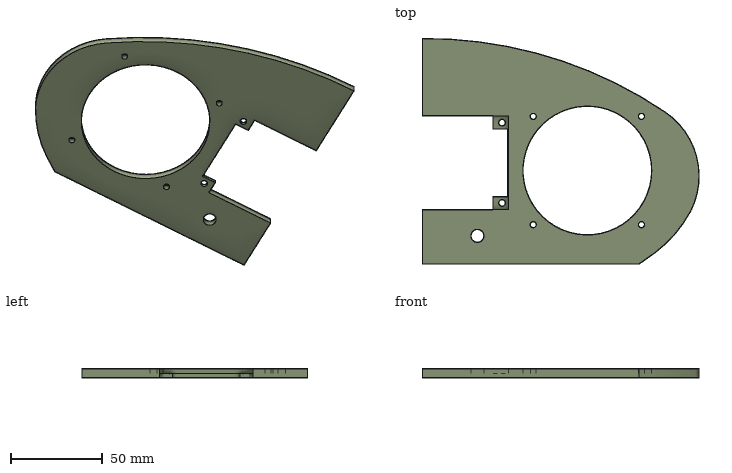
import cadquery as cq

length = 151.0
width = 123.0
thickness = 5.0
nose_y = 47.5
upper_arc_middle = (75.4, 111.1)
shoulder = (132.3, 83.0)
nose_end = (146.5, 29.0)
lower_arc_middle = (138.0, 16.6)
lower_arc_end = (127.2, 6.3)
bottom_edge_end = 118.2

notch_depth = 47.0
notch_bottom = 29.7
notch_top = 80.8
ledge_width = 0.6
tab_length = 8.5
tab_width = 7.1
tab_thickness = 2.3
tab_hole_diameter = 3.5
tab_hole_inset_x = 3.5
tab_hole_inset_y = 3.6

opening_center = (90.0, 51.0)
opening_diameter = 70.0
mount_spacing = 59.0
mount_diameter = 3.2

arm_hole_center = (30.0, 15.4)
arm_hole_diameter = 7.0


def make_plate():
    """Flat plate with a curved upper side and a rounded nose."""
    return (
        cq.Workplane("XY")
        .lineTo(bottom_edge_end, 0)
        .lineTo(*lower_arc_end)
        .threePointArc(lower_arc_middle, nose_end)
        .threePointArc((length, nose_y), shoulder)
        .threePointArc(upper_arc_middle, (0, width))
        .close()
        .extrude(thickness)
    )


def block(x_min, x_max, y_min, y_max, height):
    """Rectangular block standing on the bottom plane."""
    return (
        cq.Workplane("XY")
        .moveTo(x_min, y_min)
        .lineTo(x_max, y_min)
        .lineTo(x_max, y_max)
        .lineTo(x_min, y_max)
        .close()
        .extrude(height)
    )


def drill(body, centers, diameter):
    """Cut round holes through the full plate thickness."""
    pins = cq.Workplane("XY").pushPoints(centers).circle(diameter / 2).extrude(thickness)
    return body.cut(pins)


result = make_plate().cut(block(0, notch_depth, notch_bottom, notch_top, thickness))
result = result.union(
    block(notch_depth - ledge_width, notch_depth, notch_bottom, notch_top, tab_thickness)
)
tab_start = notch_depth - tab_length
for tab_bottom in (notch_bottom, notch_top - tab_width):
    result = result.union(
        block(tab_start, notch_depth, tab_bottom, tab_bottom + tab_width, tab_thickness)
    )

tab_hole_x = notch_depth - tab_hole_inset_x
tab_hole_centers = [
    (tab_hole_x, notch_bottom + tab_hole_inset_y),
    (tab_hole_x, notch_top - tab_hole_inset_y),
]
mount_centers = [
    (opening_center[0] + x_side * mount_spacing / 2, opening_center[1] + y_side * mount_spacing / 2)
    for x_side in (-1, 1)
    for y_side in (-1, 1)
]
result = drill(result, tab_hole_centers, tab_hole_diameter)
result = drill(result, mount_centers, mount_diameter)
result = drill(result, [opening_center], opening_diameter)
result = drill(result, [arm_hole_center], arm_hole_diameter)